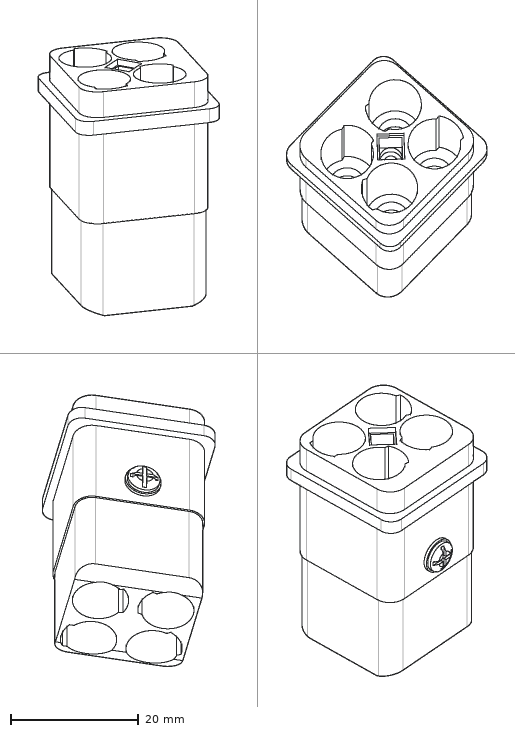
import cadquery as cq
import math

total_height = 37.6
upper_width = 21.06
lower_width = 20.46
flat_width = 15.0
step_z = 15.55

flange_width = 23.6
flange_flat = 19.1
flange_bottom_z = 31.0
flange_top_z = 33.3

base_flat = 14.46
base_slope_angle = 20.0

bore_radius = 4.12
key_radius = 4.7
key_width = 5.2
seat_radius = 2.82
throat_radius = 2.13
top_bore_floor_z = 22.0
seat_floor_z = 18.0
bottom_bore_top_z = step_z
rear_row_x = 5.54
rear_row_y = 3.35
front_row_x = 4.96
front_row_y = -5.6

cavities = [
    (-rear_row_x, rear_row_y, 15),
    (rear_row_x, rear_row_y, 170),
    (-front_row_x, front_row_y, 150),
    (front_row_x, front_row_y, 0),
]

pocket_y = -0.88
recess_side = 4.25
recess_depth = 1.0
well_side = 3.6
well_depth = 6.0
pocket_bore_radius = 1.78
pocket_bore_depth = 8.0
pilot_radius = 1.08
pilot_depth = 10.0

screw_z = 20.05
screw_tip_y = 12.28
washer_radius = 2.87
washer_thickness = 0.5
head_radius = 2.57
head_rim_y = 11.6
dome_mid_radius = 1.98
dome_mid_y = 11.93
tip_radius = 1.34
drive_slot_width = 0.65
drive_slot_depth = 0.48


def rounded_block(width, flat, bottom_z, top_z):
    """Square block whose corner radius leaves the given flat on each side."""
    block = cq.Workplane("XY").workplane(offset=bottom_z).rect(width, width).extrude(top_z - bottom_z)
    return block.edges("|Z").fillet((width - flat) / 2)


def cylinder(x, y, radius, bottom_z, top_z):
    return cq.Workplane("XY", origin=(x, y, bottom_z)).circle(radius).extrude(top_z - bottom_z)


def base_slope(side):
    """Wedge under the base, along the +Y edge (side = 1) or the -Y edge (side = -1)."""
    run = (lower_width - base_flat) / 2
    rise = run * math.tan(math.radians(base_slope_angle))
    inner_y = side * base_flat / 2
    outer_y = side * lower_width / 2
    profile = cq.Workplane("YZ").polyline([(inner_y, 0), (outer_y, 0), (outer_y, rise)]).close()
    return profile.extrude(lower_width / 2, both=True)


def housing():
    body = rounded_block(lower_width, flat_width, 0, step_z)
    body = body.union(rounded_block(upper_width, flat_width, step_z, total_height))
    body = body.union(rounded_block(flange_width, flange_flat, flange_bottom_z, flange_top_z))
    for side in (-1, 1):
        body = body.cut(base_slope(side))
    return body


def keyed_bore(x, y, key_angle, bottom_z, top_z):
    """Round bore with a wide, parallel-sided key lobe pointing along key_angle."""
    lobe = (
        cq.Workplane("XY", origin=(x, y, bottom_z))
        .transformed(rotate=(0, 0, key_angle))
        .center(key_radius / 2, 0)
        .rect(key_radius, key_width)
        .extrude(top_z - bottom_z)
        .intersect(cylinder(x, y, key_radius, bottom_z, top_z))
    )
    return cylinder(x, y, bore_radius, bottom_z, top_z).union(lobe)


def cavity(x, y, key_angle):
    top_bore = keyed_bore(x, y, key_angle, top_bore_floor_z, total_height)
    seat = cylinder(x, y, seat_radius, seat_floor_z, top_bore_floor_z)
    throat = cylinder(x, y, throat_radius, bottom_bore_top_z, seat_floor_z)
    bottom_bore = keyed_bore(x, y, key_angle, 0, bottom_bore_top_z)
    return top_bore.union(seat).union(throat).union(bottom_bore)


def square_recess(side, depth):
    recess = cq.Workplane("XY", origin=(0, pocket_y, total_height)).transformed(rotate=(0, 0, 45))
    return recess.rect(side, side).extrude(-depth)


def central_pocket():
    pocket = square_recess(recess_side, recess_depth).union(square_recess(well_side, well_depth))
    for radius, depth in ((pocket_bore_radius, pocket_bore_depth), (pilot_radius, pilot_depth)):
        pocket = pocket.union(cylinder(0, pocket_y, radius, total_height - depth, total_height))
    return pocket


def screw():
    """Washer and domed screw head with a cross drive, turned about the Y direction."""
    face_y = upper_width / 2
    washer_y = face_y + washer_thickness
    turned = (
        cq.Workplane("XY")
        .moveTo(0, face_y)
        .lineTo(washer_radius, face_y)
        .lineTo(washer_radius, washer_y)
        .lineTo(head_radius, washer_y)
        .lineTo(head_radius, head_rim_y)
        .threePointArc((dome_mid_radius, dome_mid_y), (tip_radius, screw_tip_y))
        .lineTo(0, screw_tip_y)
        .close()
        .revolve(360, (0, 0, 0), (0, 1, 0))
    )
    slot_y = screw_tip_y - drive_slot_depth / 2
    slot_length = 2 * head_radius
    for size_x, size_z in ((slot_length, drive_slot_width), (drive_slot_width, slot_length)):
        slot = cq.Workplane("XY").box(size_x, drive_slot_depth, size_z).translate((0, slot_y, 0))
        turned = turned.cut(slot)
    return turned.translate((0, 0, screw_z))


result = housing()
for placement in cavities:
    result = result.cut(cavity(*placement))
result = result.cut(central_pocket())
result = result.union(screw())